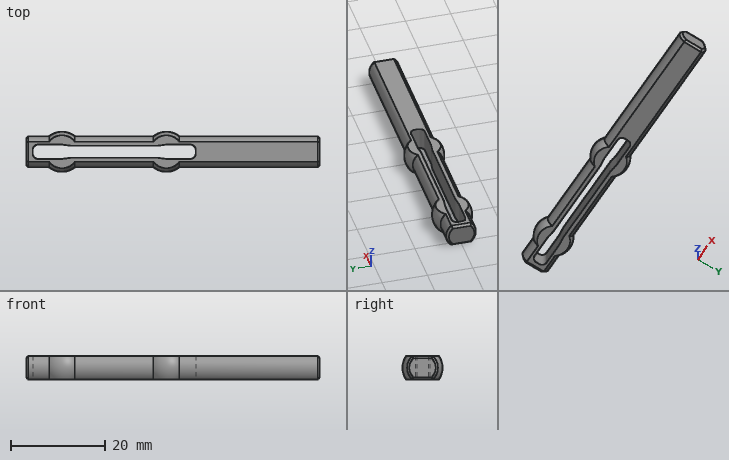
import cadquery as cq

length = 62.5
bar_diameter = 6.6
thickness = 5.0
end_chamfer = 0.5

bulge_diameter = 8.6
first_bulge_x = 7.65
bulge_spacing = 22.2
second_bulge_x = first_bulge_x + bulge_spacing

slot_start = 1.45
slot_end = 36.05
slot_width = 3.0
slot_corner_radius = 1.1
neck_width = 2.5
taper_length = 1.9


def slab(x_start, x_end, width):
    """Block of the part's thickness, centred on Y and Z, between two X positions."""
    block = cq.Workplane("XY").box(x_end - x_start, width, thickness)
    return block.translate(((x_start + x_end) / 2, 0, 0))


def chamfered_bar():
    """Cylinder cut to two flats, with its end faces chamfered all round."""
    cylinder = cq.Workplane("YZ").circle(bar_diameter / 2).extrude(length)
    bar = cylinder.intersect(slab(0, length, bar_diameter))
    return bar.faces("<X or >X").chamfer(end_chamfer)


def bulge(x_center):
    """Sphere on the bar axis, trimmed to the part's thickness."""
    radius = bulge_diameter / 2
    sphere = cq.Workplane("XY").sphere(radius).translate((x_center, 0, 0))
    return sphere.intersect(slab(x_center - radius, x_center + radius, bulge_diameter))


def slot():
    """Slot cutter: mirrored half outline, extruded through and rounded at both ends."""
    half_width = slot_width / 2
    half_neck = neck_width / 2
    upper_edge = [
        (slot_start, half_width),
        (first_bulge_x, half_width),
        (first_bulge_x + taper_length, half_neck),
        (second_bulge_x - taper_length, half_neck),
        (second_bulge_x, half_width),
        (slot_end, half_width),
    ]
    lower_edge = [(x, -y) for x, y in reversed(upper_edge)]
    outline = cq.Workplane("XY").polyline(upper_edge + lower_edge).close()
    cutter = outline.extrude(thickness / 2, both=True)
    return cutter.faces("<X or >X").edges("|Z").fillet(slot_corner_radius)


body = chamfered_bar()
for bulge_x in (first_bulge_x, second_bulge_x):
    body = body.union(bulge(bulge_x))

result = body.cut(slot())